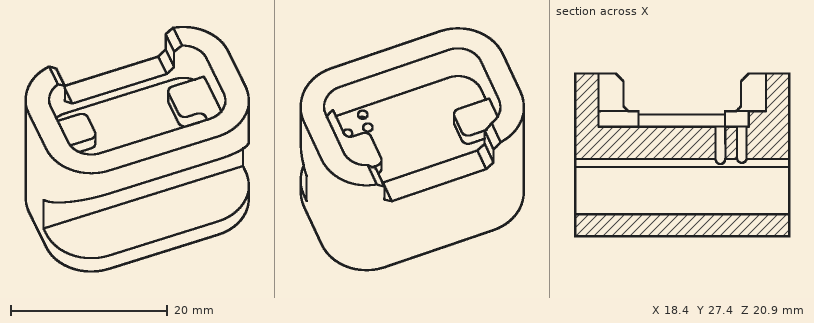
import cadquery as cq

LENGTH_X = 18.4
LENGTH_Y = 27.4
HEIGHT = 20.85
CORNER_RADIUS = 6.2

WALL = 3.01
POCKET_DEPTH = 6.82
POCKET_X = LENGTH_X - 2 * WALL
POCKET_Y = LENGTH_Y - 2 * WALL
POCKET_RADIUS = CORNER_RADIUS - WALL
POCKET_FLOOR_Z = HEIGHT - POCKET_DEPTH

PAD_HEIGHT = 2.0
PAD_RADIUS = 0.88
BACK_PAD_LEFT_X = -3.78
BACK_PAD_STEP_X = 1.42
BACK_PAD_FRONT_Y = 5.45
BACK_PAD_STEP_Y = 8.5
FRONT_PAD_LEFT_X = -4.0
FRONT_PAD_RIGHT_X = 0.25
FRONT_PAD_BACK_Y = -5.55

NOTCH_DEPTH = 5.23
NOTCH_CHAMFER = 1.01
NOTCH_HALF_WIDTH = LENGTH_Y / 2 - CORNER_RADIUS

UNDERCUT_DEPTH = 7.1
SHELF_Z = 2.85
ROOF_START_Z = 8.88

HOLE_DIAMETER = 1.2
HOLE_CENTRES = [(3.23, 7.62), (3.1, 4.88), (5.12, 4.77)]


def rounded_block(size_x, size_y, height, radius, base_z):
    """Upright block centred on X and Y with rounded vertical edges."""
    block = cq.Workplane("XY", origin=(0, 0, base_z)).rect(size_x, size_y).extrude(height)
    return block.edges("|Z").fillet(radius)


def pocket_volume(height):
    """Space inside the pocket walls, up to a height above the pocket floor."""
    return rounded_block(POCKET_X, POCKET_Y, height, POCKET_RADIUS, POCKET_FLOOR_Z)


def floor_pad(outline):
    """Prism of pad height standing on the pocket floor."""
    floor = cq.Workplane("XY", origin=(0, 0, POCKET_FLOOR_Z))
    return floor.polyline(outline).close().extrude(PAD_HEIGHT).edges("|Z").fillet(PAD_RADIUS)


def pads():
    """Both pads, run out into the body walls and trimmed to the pocket outline."""
    reach_x = LENGTH_X / 2
    reach_y = LENGTH_Y / 2
    back_pad = floor_pad([
        (BACK_PAD_LEFT_X, reach_y),
        (BACK_PAD_LEFT_X, BACK_PAD_FRONT_Y),
        (BACK_PAD_STEP_X, BACK_PAD_FRONT_Y),
        (BACK_PAD_STEP_X, BACK_PAD_STEP_Y),
        (reach_x, BACK_PAD_STEP_Y),
        (reach_x, reach_y),
    ])
    front_pad = floor_pad([
        (FRONT_PAD_LEFT_X, -reach_y),
        (FRONT_PAD_RIGHT_X, -reach_y),
        (FRONT_PAD_RIGHT_X, FRONT_PAD_BACK_Y),
        (FRONT_PAD_LEFT_X, FRONT_PAD_BACK_Y),
    ])
    return back_pad.union(front_pad).intersect(pocket_volume(PAD_HEIGHT))


def notch():
    """Cutter for the notch, reaching from the -X face just past the wall."""
    bottom_z = HEIGHT - NOTCH_DEPTH
    bottom_half = NOTCH_HALF_WIDTH - NOTCH_CHAMFER
    mouth_half = NOTCH_HALF_WIDTH + NOTCH_CHAMFER
    right_side = [
        (bottom_half, bottom_z),
        (NOTCH_HALF_WIDTH, bottom_z + NOTCH_CHAMFER),
        (NOTCH_HALF_WIDTH, HEIGHT - NOTCH_CHAMFER),
        (mouth_half, HEIGHT),
    ]
    left_side = [(-y, z) for y, z in reversed(right_side)]
    past_wall = POCKET_RADIUS / 2
    profile = cq.Workplane("YZ", origin=(-LENGTH_X / 2, 0, 0)).polyline(right_side + left_side)
    return profile.close().extrude(WALL + past_wall)


def undercut():
    """Cutter for the undercut, running the full length in Y."""
    outer_x = LENGTH_X / 2
    inner_x = outer_x - UNDERCUT_DEPTH
    profile = cq.Workplane("XZ").polyline([
        (outer_x, SHELF_Z),
        (inner_x, SHELF_Z),
        (inner_x, ROOF_START_Z),
        (outer_x, ROOF_START_Z + UNDERCUT_DEPTH),
    ])
    return profile.close().extrude(LENGTH_Y / 2, both=True)


def floor_holes():
    """Cutter for the holes, ending inside the undercut above its shelf."""
    floor = cq.Workplane("XY", origin=(0, 0, POCKET_FLOOR_Z)).pushPoints(HOLE_CENTRES)
    return floor.circle(HOLE_DIAMETER / 2).extrude(ROOF_START_Z - POCKET_FLOOR_Z)


body = rounded_block(LENGTH_X, LENGTH_Y, HEIGHT, CORNER_RADIUS, 0)
body = body.cut(pocket_volume(POCKET_DEPTH))
body = body.cut(notch())
body = body.cut(undercut())
body = body.cut(floor_holes())
result = body.union(pads())